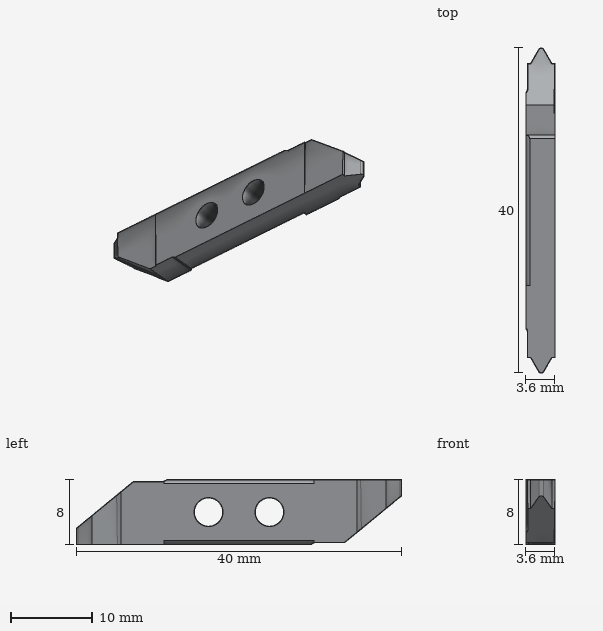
import cadquery as cq
import math

WIDTH = 3.6
LENGTH = 40.0
HEIGHT = 8.0

LAND_DROP = 0.25
LAND_RAMP_INNER = 8.85
LAND_RAMP_OUTER = 9.3
SLOPE_START = 13.0
NOSE_DEPTH = 2.0

HOLE_DIAMETER = 3.5
HOLE_SPACING = 7.5
CHAMFER = 0.5
CHAMFER_HALF_LENGTH = 9.25

RELIEF_DRAFT = 1.0
LEFT_RELIEF_DEPTH = 0.18
LEFT_RELIEF_LENGTH = 5.5
RELIEF_RUNOUT_RADIUS = 0.7
RIGHT_RELIEF_LENGTH = 8.0

TIP_ANGLE = 60.0
TIP_RADIUS = 0.35
TIP_LENGTH = 1.9

OVERCUT = 1.0
half_width = WIDTH / 2
half_length = LENGTH / 2
half_height = HEIGHT / 2
tip_center_x = LEFT_RELIEF_DEPTH / 2


def make_body():
    """Side outline extruded across the width."""
    land_z = half_height - LAND_DROP
    upper = [
        (-half_length, half_height),
        (LAND_RAMP_INNER, half_height),
        (LAND_RAMP_OUTER, land_z),
        (SLOPE_START, land_z),
        (half_length, NOSE_DEPTH - half_height),
    ]
    lower = [(-y, -z) for y, z in upper]
    return cq.Workplane("YZ").polyline(upper + lower).close().extrude(half_width, both=True)


def make_holes():
    """Two through holes across the width."""
    return (
        cq.Workplane("YZ")
        .pushPoints([(-HOLE_SPACING / 2, 0), (HOLE_SPACING / 2, 0)])
        .circle(HOLE_DIAMETER / 2)
        .extrude(half_width + OVERCUT, both=True)
    )


def make_edge_chamfer():
    """45-degree wedge along the middle of the top edge on the -X side."""
    return (
        cq.Workplane("XZ")
        .polyline([
            (-half_width, half_height),
            (-half_width + CHAMFER, half_height),
            (-half_width, half_height - CHAMFER),
        ])
        .close()
        .extrude(CHAMFER_HALF_LENGTH, both=True)
    )


def left_relief_section(plan, depth):
    """Relief section in plan: a flat that runs out to the side face in an arc."""
    surface_x = -half_width
    floor_x = surface_x + depth
    outer_y = -half_length - OVERCUT
    start_y = -half_length + LEFT_RELIEF_LENGTH
    sweep = math.acos(1 - depth / RELIEF_RUNOUT_RADIUS)
    floor_y = start_y - RELIEF_RUNOUT_RADIUS * math.sin(sweep)
    middle_x = floor_x - RELIEF_RUNOUT_RADIUS * (1 - math.cos(sweep / 2))
    middle_y = floor_y + RELIEF_RUNOUT_RADIUS * math.sin(sweep / 2)
    return (
        plan.moveTo(surface_x - OVERCUT, start_y)
        .lineTo(surface_x, start_y)
        .threePointArc((middle_x, middle_y), (floor_x, floor_y))
        .lineTo(floor_x, outer_y)
        .lineTo(surface_x - OVERCUT, outer_y)
        .close()
    )


def make_left_relief():
    """Drafted relief on the -X side."""
    added_depth = HEIGHT * math.tan(math.radians(RELIEF_DRAFT))
    top = cq.Workplane("XY", origin=(0, 0, half_height))
    section = left_relief_section(top, LEFT_RELIEF_DEPTH).workplane(offset=-HEIGHT)
    return left_relief_section(section, LEFT_RELIEF_DEPTH + added_depth).loft(ruled=True)


def make_right_relief():
    """Drafted wedge on the +X side, of no depth at the cutting edge."""
    bottom_depth = HEIGHT * math.tan(math.radians(RELIEF_DRAFT))
    return (
        cq.Workplane("XZ", origin=(0, -half_length + RIGHT_RELIEF_LENGTH, 0))
        .polyline([
            (half_width, half_height),
            (half_width, -half_height),
            (half_width - bottom_depth, -half_height),
        ])
        .close()
        .extrude(RIGHT_RELIEF_LENGTH)
    )


def make_tip_waste():
    """Material removed around the rounded V tip, down to the shoulders."""
    half_angle = math.radians(TIP_ANGLE / 2)
    shoulder_y = -half_length + TIP_LENGTH
    apex_overhang = TIP_RADIUS * (1 / math.sin(half_angle) - 1)
    shoulder_half = (TIP_LENGTH + apex_overhang) * math.tan(half_angle)
    tangent_x = TIP_RADIUS * math.cos(half_angle)
    tangent_y = -half_length + TIP_RADIUS * (1 - math.sin(half_angle))
    tip = (
        cq.Workplane("XY")
        .moveTo(tip_center_x - shoulder_half, shoulder_y)
        .lineTo(tip_center_x - tangent_x, tangent_y)
        .threePointArc((tip_center_x, -half_length), (tip_center_x + tangent_x, tangent_y))
        .lineTo(tip_center_x + shoulder_half, shoulder_y)
        .close()
        .extrude(HEIGHT, both=True)
    )
    block = cq.Workplane("XY").box(2 * WIDTH, TIP_LENGTH + OVERCUT, 2 * HEIGHT)
    return block.translate((0, shoulder_y - (TIP_LENGTH + OVERCUT) / 2, 0)).cut(tip)


def other_end(cutter):
    """The same cutter turned about X to the +Y end."""
    return cutter.rotate((0, 0, 0), (1, 0, 0), 180)


result = make_body().cut(make_holes())
for end_cutter in (make_edge_chamfer(), make_left_relief(), make_right_relief(), make_tip_waste()):
    result = result.cut(end_cutter).cut(other_end(end_cutter))